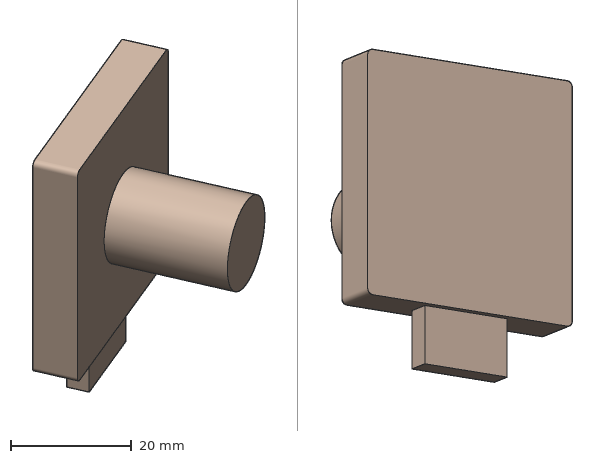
import cadquery as cq

plate_thickness = 8.0
plate_width = 40.0
total_height = 52.0
corner_radius = 1.0

tab_drop = 10.0
tab_width = 16.1
tab_thickness = 4.0
tab_setback = 1.25

stem_diameter = 16.5
total_depth = 30.0

plate_height = total_height - tab_drop
stem_length = total_depth - plate_thickness


def make_plate():
    """Plate centred on the stem axis, with its outer face at X = 0."""
    plate = cq.Workplane("YZ").rect(plate_width, plate_height).extrude(plate_thickness)
    return plate.edges("|X").fillet(corner_radius)


def make_stem():
    """Cylinder on the centre of the plate's rear face."""
    rear_face = cq.Workplane("YZ", origin=(plate_thickness, 0, 0))
    return rear_face.circle(stem_diameter / 2).extrude(stem_length)


def make_tab():
    """Rectangular tab below the bottom edge, centred across the plate."""
    front_of_tab = cq.Workplane("YZ", origin=(tab_setback, 0, -(plate_height + tab_drop) / 2))
    return front_of_tab.rect(tab_width, tab_drop).extrude(tab_thickness)


result = make_plate().union(make_stem()).union(make_tab())